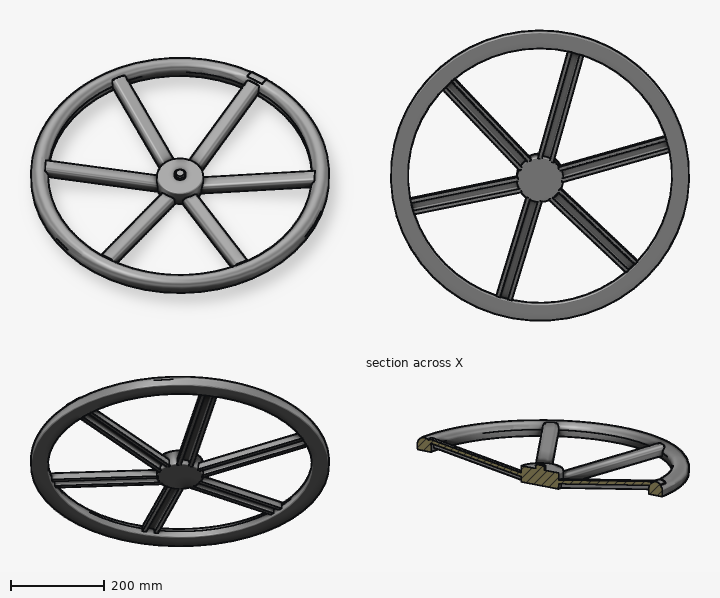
import cadquery as cq
import math

rim_outer_radius = 320.0
rim_width = 37.0
rim_base_z = 27.5
rim_shoulder_z = 43.0
rim_top_z = 58.0
edge_round = 3.0
rim_inner_radius = rim_outer_radius - rim_width
rim_mid_radius = rim_outer_radius - rim_width / 2

hub_radius = 100.0 / 2
hub_top_z = 37.0
stub_radius = 24.0 / 2
stub_tip_radius = 18.0 / 2
stub_chamfer = stub_radius - stub_tip_radius
stub_top_z = 47.0

spoke_count = 6
spoke_width = 34.5
spoke_depth = 20.5
spoke_top_round = 10.0
spoke_climb_angle = 8.6
spoke_start_radius = 45.0
spoke_end_radius = 292.0
channel_width = 17.0
channel_round = 4.0
spoke_roof = 9.5
cut_clearance = 6.5

badge_length = 38.5
badge_inner_radius = 295.0
badge_outer_radius = 314.0
badge_rise = 1.0


def ring(rise=0.0):
    """Ring of the rim section; rise moves its sides and round top outward."""
    inner = rim_inner_radius - rise
    outer = rim_outer_radius + rise
    return (
        cq.Workplane("XZ")
        .moveTo(inner, rim_base_z)
        .lineTo(outer, rim_base_z)
        .lineTo(outer, rim_shoulder_z)
        .threePointArc((rim_mid_radius, rim_top_z + rise), (inner, rim_shoulder_z))
        .close()
        .revolve(360, (0, 0, 0), (0, 1, 0))
    )


def make_rim():
    return ring().faces("<Z").edges().fillet(edge_round)


def make_badge():
    """Patch that follows the round top of the rim at +Y."""
    footprint = (
        cq.Workplane("XY")
        .workplane(offset=rim_shoulder_z)
        .center(0, (badge_inner_radius + badge_outer_radius) / 2)
        .rect(badge_length, badge_outer_radius - badge_inner_radius)
        .extrude(rim_top_z + badge_rise - rim_shoulder_z)
    )
    return footprint.intersect(ring(badge_rise))


def make_hub():
    hub = cq.Workplane("XY").circle(hub_radius).extrude(hub_top_z).edges().fillet(edge_round)
    stub = (
        cq.Workplane("XY")
        .circle(stub_radius)
        .extrude(stub_top_z)
        .faces(">Z")
        .edges()
        .chamfer(stub_chamfer)
    )
    return hub.union(stub)


def sloped_bar(width, bottom, top, rounding):
    """Bar along +Y climbing from the hub into the rim, with its two long top edges rounded."""
    length = (spoke_end_radius - spoke_start_radius) / math.cos(math.radians(spoke_climb_angle))
    return (
        cq.Workplane("XY")
        .box(width, length, top - bottom, centered=(True, False, False))
        .edges("|Y and >Z")
        .fillet(rounding)
        .translate((0, 0, bottom))
        .rotate((0, 0, 0), (1, 0, 0), spoke_climb_angle)
        .translate((0, spoke_start_radius, 0))
    )


def make_spoke():
    body = sloped_bar(spoke_width, 0, spoke_depth, spoke_top_round)
    channel = sloped_bar(channel_width, -cut_clearance, spoke_depth - spoke_roof, channel_round)
    return body.cut(channel)


result = make_rim().union(make_hub())
spoke = make_spoke()
for index in range(spoke_count):
    result = result.union(spoke.rotate((0, 0, 0), (0, 0, 1), index * 360 / spoke_count))
result = result.union(make_badge())